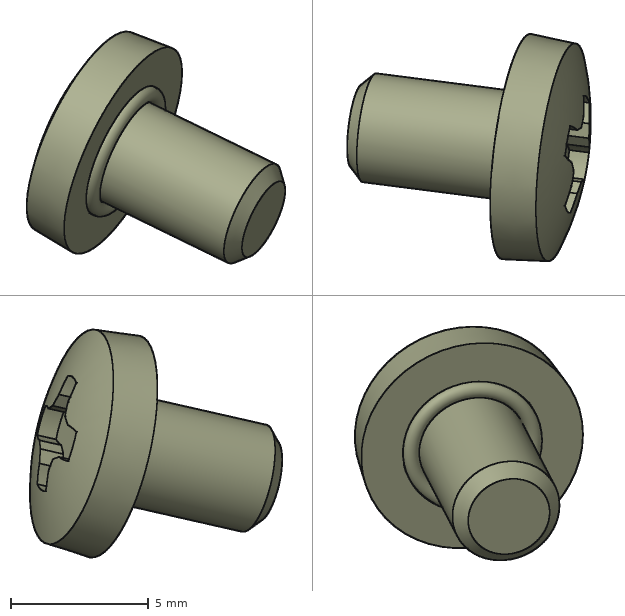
import cadquery as cq
import math

overall_length = 8.43

head_diameter = 8.3
head_radius = head_diameter / 2
dome_edge_radius = 4.01
dome_edge_x = 0.74
head_back_x = 2.43

shank_radius = 2.01
tip_chamfer = 0.48

ring_section_radius = 0.295
ring_center_x = 2.495
ring_center_radius = shank_radius + ring_section_radius
groove_floor_x = ring_center_x - ring_section_radius
groove_outer_radius = ring_center_radius + ring_section_radius

recess_floor_x = 0.9
recess_radius = 2.16
lobe_radius = 1.17
lobe_end = (0.51, 1.365)
flank_middle = (0.79, 1.65)
arm_corner_angle = 60.2
arm_corner = (
    recess_radius * math.cos(math.radians(arm_corner_angle)),
    recess_radius * math.sin(math.radians(arm_corner_angle)),
)

dome_center_x = (dome_edge_x**2 + dome_edge_radius**2 - lobe_radius**2) / (2 * dome_edge_x)
dome_radius = math.hypot(dome_center_x, lobe_radius)
dome_apex_x = dome_center_x - dome_radius


def revolve_about_x(profile):
    return profile.revolve(360, (0, 0, 0), (1, 0, 0))


def rotated(point, quarter_turns):
    """Turn a recess point about the screw axis by a number of quarter turns."""
    u, v = point
    for _ in range(quarter_turns):
        u, v = -v, u
    return (u, v)


def mirrored(point):
    return (-point[0], point[1])


def make_screw_blank():
    """Domed head with tapered rim, shank and chamfered tip."""
    dome_middle_radius = dome_edge_radius / 2
    dome_middle_x = dome_center_x - math.sqrt(dome_radius**2 - dome_middle_radius**2)
    profile = (
        cq.Workplane("XY")
        .moveTo(dome_apex_x, 0)
        .threePointArc((dome_middle_x, dome_middle_radius), (dome_edge_x, dome_edge_radius))
        .lineTo(head_back_x, head_radius)
        .lineTo(head_back_x, groove_outer_radius)
        .lineTo(groove_floor_x, groove_outer_radius)
        .lineTo(groove_floor_x, shank_radius)
        .lineTo(overall_length - tip_chamfer, shank_radius)
        .lineTo(overall_length, shank_radius - tip_chamfer)
        .lineTo(overall_length, 0)
        .close()
    )
    return revolve_about_x(profile)


def make_recess_cutter():
    """Prism of the cross outline, from ahead of the dome to the recess floor."""
    outline = cq.Workplane("YZ", origin=(dome_apex_x, 0, 0)).moveTo(*arm_corner)
    arm_end_middle = (-recess_radius / math.sqrt(2), recess_radius / math.sqrt(2))
    for turn in range(4):
        outline = (
            outline
            .threePointArc(rotated(flank_middle, turn), rotated(lobe_end, turn))
            .lineTo(*rotated((0, lobe_radius), turn))
            .lineTo(*rotated(mirrored(lobe_end), turn))
            .threePointArc(rotated(mirrored(flank_middle), turn), rotated(mirrored(arm_corner), turn))
            .threePointArc(rotated(arm_end_middle, turn), rotated(arm_corner, turn + 1))
        )
    return outline.close().extrude(recess_floor_x - dome_apex_x)


def make_sealing_ring():
    section = cq.Workplane("XY").moveTo(ring_center_x, ring_center_radius).circle(ring_section_radius)
    return revolve_about_x(section)


screw = make_screw_blank().cut(make_recess_cutter())
sealing_ring = make_sealing_ring()

result = cq.Compound.makeCompound([screw.solids().val(), sealing_ring.val()])